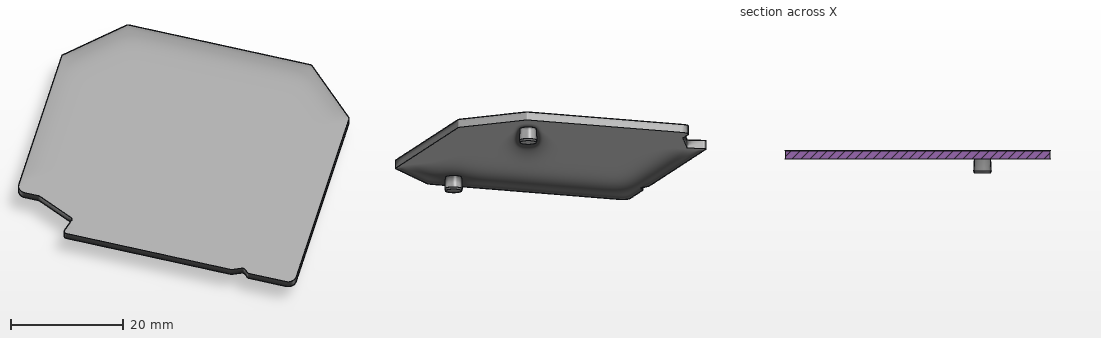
import cadquery as cq
import math

width = 53.0
depth = 47.2
thickness = 1.5
top_chamfer = 9.55

outer_radius = 1.5
step_radius = 1.0
foot_radius = 0.55
small_radius = 0.5
crest_radius = 0.65

flank_tan = math.tan(math.radians(25))

step_height = 6.75
step_length = 4.2
notch_root_height = 3.45
undercut_tan = math.tan(math.radians(15))
notch_root_x = step_length + (step_height - notch_root_height) / flank_tan
notch_foot_x = notch_root_x - notch_root_height * undercut_tan

small_notch_start = 41.45
small_notch_end = 44.45
crest_height = (small_notch_end - small_notch_start) * flank_tan / (1 + flank_tan)
crest_x = small_notch_end - crest_height

peg_root_diameter = 2.9
peg_rim_diameter = 3.15
peg_tip_diameter = 2.85
peg_length = 2.5
peg_tip_height = 0.35
peg_spacing = 40.0
peg_from_back = 12.1


def make_plate():
    """Extrude the sharp outline, then round each vertical edge with its own radius."""
    corners = [
        (0, step_height, outer_radius),
        (step_length, step_height, step_radius),
        (notch_root_x, notch_root_height, small_radius),
        (notch_foot_x, 0, foot_radius),
        (small_notch_start, 0, small_radius),
        (crest_x, crest_height, crest_radius),
        (small_notch_end, 0, small_radius),
        (width, 0, outer_radius),
        (width, depth - top_chamfer, small_radius),
        (width - top_chamfer, depth, small_radius),
        (top_chamfer, depth, small_radius),
        (0, depth - top_chamfer, small_radius),
    ]
    outline = [(x, y) for x, y, radius in corners]
    plate = cq.Workplane("XY").polyline(outline).close().extrude(thickness)
    for x, y, radius in corners:
        corner_edge = cq.NearestToPointSelector((x, y, thickness / 2))
        plate = plate.edges("|Z").edges(corner_edge).fillet(radius)
    return plate


def make_peg(x, y):
    """Turned peg hanging from the plate underside."""
    half_profile = [
        (0, 0),
        (peg_root_diameter / 2, 0),
        (peg_rim_diameter / 2, peg_tip_height - peg_length),
        (peg_tip_diameter / 2, -peg_length),
        (0, -peg_length),
    ]
    peg = cq.Workplane("XZ").polyline(half_profile).close().revolve(360, (0, 0), (0, 1))
    return peg.translate((x, y, 0))


result = make_plate()
for side in (-1, 1):
    peg_x = width / 2 + side * peg_spacing / 2
    result = result.union(make_peg(peg_x, depth - peg_from_back))